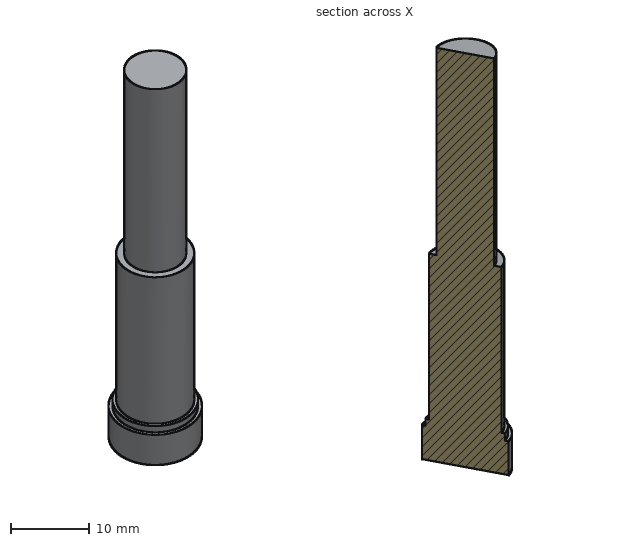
import cadquery as cq

total_height = 60.0
head_diameter = 12.0

head_height = 5.0
collar_diameter = 11.0
collar_top = total_height / 10
body_diameter = 10.0
body_top = total_height / 2
shank_diameter = 8.0

steps = [
    (head_diameter, head_height),
    (collar_diameter, collar_top),
    (body_diameter, body_top),
    (shank_diameter, total_height),
]


def stepped_pin(steps):
    """Stack coaxial cylinders along Z, with the bottom face at Z = 0."""
    pin = None
    bottom = 0.0
    for diameter, top in steps:
        cylinder = cq.Workplane("XY").workplane(offset=bottom).circle(diameter / 2).extrude(top - bottom)
        pin = pin.union(cylinder) if pin else cylinder
        bottom = top
    return pin


result = stepped_pin(steps)